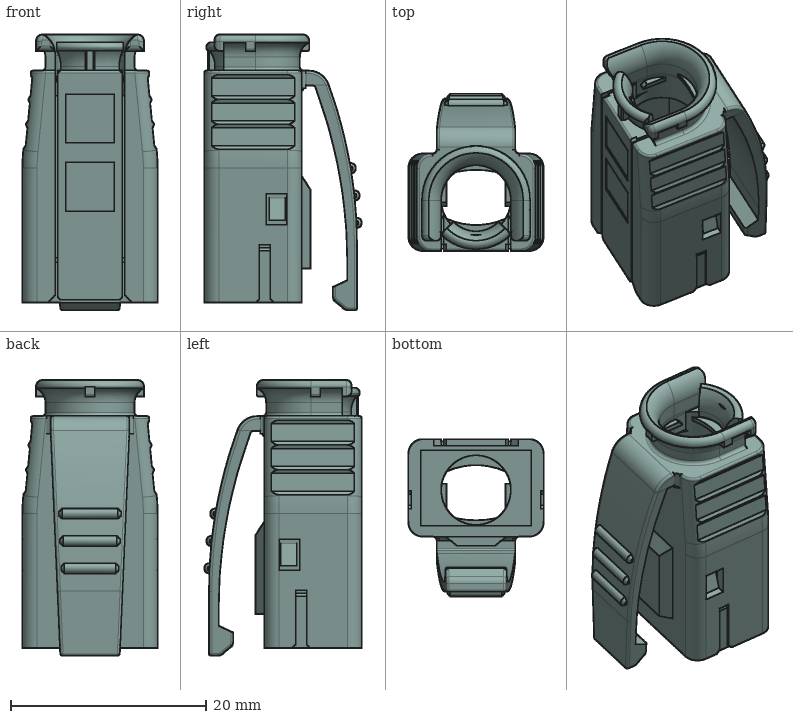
import cadquery as cq
import math

body_width = 13.9
body_half_width = body_width / 2
body_depth = 10.01
body_height = 23.8
corner_radius = 1.5
top_round = 0.25
overlap = 0.28
bend_start_z = 13.83
bend_end_z = 15.65
taper_start_half_width = 6.85
top_half_width = 6.05

groove_count = 3
groove_top_z = 23.37
groove_pitch = 2.55
groove_depth = 0.2
groove_slope_height = 0.37

collar_y = 5.23
collar_top = 27.5
throat_radius = 3.56
throat_z = 25.38
stem_radius = 4.58
stem_end_y = 1.98
root_fillet = 0.37
flare_start_z = 25.18
rim_radius = 5.55
rim_under_z = 26.65
rim_round = 0.7
mouth_radius = rim_radius - rim_round
arm_end_y = 1.05
arm_end_round = 0.57
gusset_bottom = 25.77
gusset_width = 1.0
gusset_round = 0.23

lip_half_angle = 46
lip_half_width = 3.4
lip_throat_radius = 3.2
lip_throat_z = 24.22
lip_rim_radius = 5.04
lip_rim_z = 26.15
lip_under_round = 0.3
lip_mouth_radius = 4.15
lip_mouth_z = 26.62
lip_wall_radius = lip_mouth_radius
post_half_width = 0.5
post_front_y = 0.35
post_back_y = 1.7
post_chamfer = 0.17

plate_half_width = 3.3
gap_half_width = 3.56
gap_depth = 0.7
gap_open_top_z = 21.22
bridge_front_y = 0.23
bridge_z = (4.15, 4.6)
plate_bottom = 0.28
plate_corner = 0.28
gap_mouth_chamfer = 0.75
label_size = 5.0
label_depth = 0.15
label_heights = (18.87, 11.88)

cavity_half_width = 5.65
cavity_front = 1.13
cavity_back = 8.88
cavity_top = 19.8
rear_bead_bottom = 23.75
front_bead_bottom = 22.63
bead_height = 0.45
rear_bead_y = 8.32
rear_bead_radius = 9.9
front_bead_y = 2.7
front_bead_radius = 7.35
grip_bar_x = 3.0
grip_bar_y = (4.58, 7.19)
grip_bar_z = (22.63, 23.2)
grip_bar_chamfer = 0.42

window_y = (6.37, 8.45)
window_z = (7.98, 11.15)
window_depth = 1.08
wedge_y = (6.65, 8.3)
wedge_z = (8.43, 10.75)
wedge_height = 0.74
slot_y = (5.65, 6.8)
slot_top = 5.95
slot_depth = 0.28
slot_pocket_z = 5.32
slot_pocket_depth = 0.7
slot_pocket_rise = 0.3
slot_mouth_chamfer = 0.37

latch_bottom = -0.8
latch_back_y = 15.67
latch_root_half_width = 4.05
latch_tip_half_width = 3.05
latch_back_radius = 48.1
latch_shoulder_z = 22.35
latch_tip_round = 0.23
latch_straight_z = 5.85
latch_edge_round = 0.28
latch_root_fillet = 0.4
latch_root_bottom = 21.95
hook_bottom_y = 14.8
hook_curve_end = (14.1, -0.42)
hook_slope_end = (13.27, 0.23)
hook_tip_y = 13.15
hook_tip_z = (0.6, 1.58)
hook_top_z = 2.3
latch_inner_y = 14.65
inner_straight_z = 4.22
inner_curve_middle = (13.85, 13.15)
inner_curve_end = (11.68, 21.22)
inner_shoulder_start = (11.4, 22.05)
inner_shoulder_middle = (11.32, 22.18)
inner_shoulder_end_y = 11.17
latch_underside_z = 22.25
underside_end_y = 10.45
latch_foot_z = 21.67
bump_radius = 0.55
bump_heights = (8.18, 10.98, 13.78)
bump_edge_gap = 0.48
bump_end_chamfer = 0.35
rail_back_y = 10.92
rail_bottom = 3.48
rail_top = 12.95
rail_slope_z = 11.55
rail_base_half_width = 3.1
rail_crest_half_width = 1.98


def box(x0, x1, y0, y1, z0, z1):
    """Axis-aligned block between the given limits."""
    return cq.Workplane("XY").box(x1 - x0, y1 - y0, z1 - z0, centered=False).translate((x0, y0, z0))


def box_around(y0, y1, z0, z1):
    """Selector for what is centred between the given Y and Z limits, with a little margin."""
    margin = 0.015
    low = (-body_half_width, y0 - margin, z0 - margin)
    high = (body_half_width, y1 + margin, z1 + margin)
    return cq.selectors.BoxSelector(low, high)


def both_sides(shape):
    """The shape together with its mirror image across the YZ plane."""
    return shape.union(shape.mirror("YZ"))


def extrude_x(profile, half_width):
    """Extrude a profile drawn on the YZ plane equally to both sides."""
    return profile.extrude(half_width, both=True)


def extrude_y(profile, y0, y1):
    """Extrude a profile drawn on the XZ plane from y0 to y1."""
    return profile.extrude(-(y1 - y0)).translate((0, y0, 0))


def side_half_width(z):
    """Half width of the tapered part of the body at height z."""
    share = (z - bend_end_z) / (body_height - bend_end_z)
    return taper_start_half_width + share * (top_half_width - taper_start_half_width)


def latch_half_width(z):
    """Half width of the tapered latch arm at height z."""
    share = (z - latch_bottom) / (latch_shoulder_z - latch_bottom)
    return latch_tip_half_width + share * (latch_root_half_width - latch_tip_half_width)


def latch_outer_y(z):
    """Y of the long outer curve of the latch at height z."""
    rise = z - latch_straight_z
    return latch_back_y - latch_back_radius + math.sqrt(latch_back_radius**2 - rise**2)


def make_body():
    profile = (
        cq.Workplane("XZ")
        .moveTo(0, 0)
        .lineTo(body_half_width, 0)
        .lineTo(body_half_width, bend_start_z)
        .tangentArcPoint((taper_start_half_width, bend_end_z), relative=False)
        .lineTo(top_half_width, body_height)
        .lineTo(0, body_height)
        .close()
    )
    half = extrude_y(profile, 0, body_depth)
    body = both_sides(half)
    body = body.edges("not (|X or |Y)").fillet(corner_radius)
    return body.faces(">Z").edges().fillet(top_round)


def make_grip_grooves():
    grooves = cq.Workplane("XY")
    outside = body_half_width + overlap
    for index in range(groove_count):
        top = groove_top_z - index * groove_pitch
        bottom = top - groove_pitch
        floor_top = top - groove_slope_height
        floor_bottom = bottom + groove_slope_height
        outline = (
            cq.Workplane("XZ")
            .moveTo(outside, top)
            .lineTo(side_half_width(top), top)
            .lineTo(side_half_width(floor_top) - groove_depth, floor_top)
            .lineTo(side_half_width(floor_bottom) - groove_depth, floor_bottom)
            .lineTo(side_half_width(bottom), bottom)
            .lineTo(outside, bottom)
            .close()
        )
        grooves = grooves.union(extrude_y(outline, 0, body_depth))
    return both_sides(grooves)


def make_latch():
    latch_start_y = body_depth - corner_radius
    slope_sine = (latch_shoulder_z - latch_straight_z) / latch_back_radius
    turn = math.acos(slope_sine)
    shoulder_radius = (body_height - latch_shoulder_z) / (1 - math.cos(turn))
    shoulder_start_y = latch_outer_y(latch_shoulder_z) - shoulder_radius * math.sin(turn)
    latch_middle_z = (latch_shoulder_z + latch_straight_z) / 2
    profile = (
        cq.Workplane("YZ")
        .moveTo(latch_start_y, body_height)
        .lineTo(shoulder_start_y, body_height)
        .tangentArcPoint((latch_outer_y(latch_shoulder_z), latch_shoulder_z), relative=False)
        .threePointArc((latch_outer_y(latch_middle_z), latch_middle_z), (latch_back_y, latch_straight_z))
        .lineTo(latch_back_y, latch_bottom + latch_tip_round)
        .tangentArcPoint((-latch_tip_round, -latch_tip_round))
        .lineTo(hook_bottom_y, latch_bottom)
        .tangentArcPoint(hook_curve_end, relative=False)
        .lineTo(*hook_slope_end)
        .lineTo(hook_tip_y, hook_tip_z[0])
        .lineTo(hook_tip_y, hook_tip_z[1])
        .lineTo(latch_inner_y, hook_top_z)
        .lineTo(latch_inner_y, inner_straight_z)
        .threePointArc(inner_curve_middle, inner_curve_end)
        .lineTo(*inner_shoulder_start)
        .threePointArc(inner_shoulder_middle, (inner_shoulder_end_y, latch_underside_z))
        .lineTo(underside_end_y, latch_underside_z)
        .lineTo(body_depth, latch_foot_z)
        .lineTo(latch_start_y, latch_foot_z)
        .close()
    )
    arm = extrude_x(profile, latch_root_half_width)
    width = (
        cq.Workplane("XZ")
        .moveTo(-latch_tip_half_width, latch_bottom)
        .lineTo(latch_tip_half_width, latch_bottom)
        .lineTo(latch_root_half_width, latch_shoulder_z)
        .lineTo(latch_root_half_width, body_height)
        .lineTo(-latch_root_half_width, body_height)
        .lineTo(-latch_root_half_width, latch_shoulder_z)
        .close()
    )
    arm = arm.intersect(extrude_y(width, 0, latch_back_y))
    along_sides = arm.edges("not |X")
    back_edges = along_sides.edges(box_around(latch_inner_y, latch_back_y, hook_top_z, latch_shoulder_z))
    back_edges = back_edges.edges("not <Y")
    shoulder_middle_z = (latch_shoulder_z + body_height) / 2
    shoulder_box = box_around(latch_start_y + overlap, latch_back_y, shoulder_middle_z, body_height)
    shoulder_edges = along_sides.edges(shoulder_box)
    hook_edges = along_sides.edges(box_around(hook_tip_y, latch_back_y, latch_bottom, hook_tip_z[1]))
    outer_edges = arm.newObject(back_edges.vals() + shoulder_edges.vals() + hook_edges.vals())
    return outer_edges.fillet(latch_edge_round)


def make_latch_root():
    """Concave corners where the sides of the latch meet the rear of the body."""
    x = latch_root_half_width
    y = body_depth
    outline = (
        cq.Workplane("XY")
        .moveTo(x - overlap, y - top_round)
        .lineTo(x + latch_root_fillet, y - top_round)
        .lineTo(x + latch_root_fillet, y)
        .radiusArc((x, y + latch_root_fillet), latch_root_fillet)
        .lineTo(x - overlap, y + latch_root_fillet)
        .close()
    )
    height = body_height - latch_root_bottom
    return both_sides(outline.extrude(height).translate((0, 0, latch_root_bottom)))


def make_latch_bumps():
    bumps = cq.Workplane("XY")
    for z in bump_heights:
        circle = cq.Workplane("YZ").center(latch_outer_y(z), z).circle(bump_radius)
        bump = extrude_x(circle, latch_half_width(z) - bump_edge_gap)
        bumps = bumps.union(bump.faces("<X or >X").chamfer(bump_end_chamfer))
    return bumps


def make_rear_rail():
    section = (
        cq.Workplane("XY")
        .moveTo(-rail_base_half_width, body_depth - overlap)
        .lineTo(-rail_base_half_width, body_depth)
        .lineTo(-rail_crest_half_width, rail_back_y)
        .lineTo(rail_crest_half_width, rail_back_y)
        .lineTo(rail_base_half_width, body_depth)
        .lineTo(rail_base_half_width, body_depth - overlap)
        .close()
        .extrude(rail_top - rail_bottom)
        .translate((0, 0, rail_bottom))
    )
    side = (
        cq.Workplane("YZ")
        .moveTo(body_depth - overlap, rail_bottom)
        .lineTo(rail_back_y, rail_bottom)
        .lineTo(rail_back_y, rail_slope_z)
        .lineTo(body_depth, rail_top)
        .lineTo(body_depth - overlap, rail_top)
        .close()
    )
    return section.intersect(extrude_x(side, rail_base_half_width))


def point_on_circle(center, radius, degrees):
    """Point on a circle in the XZ plane at the given angle from +X."""
    angle = math.radians(degrees)
    return (center[0] + radius * math.cos(angle), center[1] + radius * math.sin(angle))


def collar_section():
    """Outer half section of the trumpet: X is the distance from its axis."""
    fillet_center = (stem_radius + root_fillet, body_height + root_fillet)
    rim_center = (rim_radius - rim_round, collar_top - rim_round)
    return (
        cq.Workplane("XZ")
        .moveTo(0, body_height - overlap)
        .lineTo(stem_radius + root_fillet, body_height - overlap)
        .lineTo(stem_radius + root_fillet, body_height)
        .threePointArc(point_on_circle(fillet_center, root_fillet, 225), (stem_radius, fillet_center[1]))
        .lineTo(stem_radius, flare_start_z)
        .tangentArcPoint((rim_radius, rim_under_z), relative=False)
        .lineTo(rim_radius, rim_center[1])
        .threePointArc(point_on_circle(rim_center, rim_round, 45), (rim_center[0], collar_top))
        .lineTo(0, collar_top)
        .close()
    )


def flare_midpoint(inner_radius, bottom_z, outer_radius, top_z):
    """Middle of an arc that leaves the throat vertically and opens to the mouth."""
    run = outer_radius - inner_radius
    rise = top_z - bottom_z
    flare_radius = (run**2 + rise**2) / (2 * run)
    half_angle = math.degrees(math.asin(rise / flare_radius)) / 2
    return point_on_circle((inner_radius + flare_radius, bottom_z), flare_radius, 180 - half_angle)


def throat_section():
    """Half section of the space inside the trumpet, down to the body cavity."""
    flare_middle = flare_midpoint(throat_radius, throat_z, mouth_radius, collar_top)
    return (
        cq.Workplane("XZ")
        .moveTo(0, body_height - overlap)
        .lineTo(throat_radius, body_height - overlap)
        .lineTo(throat_radius, throat_z)
        .threePointArc(flare_middle, (mouth_radius, collar_top))
        .lineTo(0, collar_top)
        .close()
    )


def half_turn(section):
    """Revolve a section around the collar axis through its rear half."""
    return section.revolve(180, (0, 0, 0), (0, 1, 0)).translate((0, collar_y, 0))


def arm_end_block():
    """Rounded block closing the front end of the right-hand arm."""
    rim_center = (rim_radius - rim_round, collar_top - rim_round)
    outline = (
        cq.Workplane("XZ")
        .moveTo(throat_radius, gusset_bottom)
        .lineTo(rim_radius, gusset_bottom)
        .lineTo(rim_radius, rim_center[1])
        .threePointArc(point_on_circle(rim_center, rim_round, 45), (rim_center[0], collar_top))
        .lineTo(throat_radius, collar_top)
        .close()
    )
    return extrude_y(outline, arm_end_y, stem_end_y).faces("<Y").edges().fillet(arm_end_round)


def gusset():
    """Support under the rim; it points along +X from the collar axis."""
    return (
        box(stem_radius - overlap, rim_radius, 0, gusset_width, gusset_bottom, collar_top - rim_round)
        .edges(">X and <Z")
        .fillet(gusset_round)
    )


def make_collar():
    side_gusset = gusset().translate((0, collar_y - gusset_width, 0))
    back_gusset = gusset().translate((0, -gusset_width / 2, 0)).rotate((0, 0, 0), (0, 0, 1), 90)
    back_gusset = back_gusset.translate((0, collar_y, 0))
    right_arm = extrude_y(collar_section(), stem_end_y, collar_y).union(arm_end_block()).union(side_gusset)
    collar = half_turn(collar_section()).union(both_sides(right_arm)).union(back_gusset)
    throat = half_turn(throat_section()).union(both_sides(extrude_y(throat_section(), 0, collar_y)))
    return collar.cut(throat)


def front_sector(section):
    """Revolve a section around the collar axis through the front lip angle."""
    return (
        section.revolve(2 * lip_half_angle, (0, 0, 0), (0, 1, 0))
        .rotate((0, 0, 0), (0, 0, 1), -90 - lip_half_angle)
        .translate((0, collar_y, 0))
    )


def make_front_lip():
    under_center = (lip_rim_radius - lip_under_round, lip_rim_z)
    flare_middle = flare_midpoint(lip_throat_radius, lip_throat_z, lip_mouth_radius, lip_mouth_z)
    section = (
        cq.Workplane("XZ")
        .moveTo(lip_throat_radius, body_height - overlap)
        .lineTo(lip_wall_radius, body_height - overlap)
        .lineTo(lip_wall_radius, lip_throat_z)
        .tangentArcPoint((lip_rim_radius - lip_under_round, lip_rim_z - lip_under_round), relative=False)
        .threePointArc(point_on_circle(under_center, lip_under_round, -45), (lip_rim_radius, lip_rim_z))
        .tangentArcPoint((lip_mouth_radius, lip_mouth_z), relative=False)
        .threePointArc(flare_middle, (lip_throat_radius, lip_throat_z))
        .close()
    )
    post_z = (body_height - overlap, lip_rim_z - lip_under_round)
    post = box(-post_half_width, post_half_width, post_front_y, post_back_y, *post_z)
    post = post.edges("|Z and <Y").chamfer(post_chamfer)
    sides = box(-lip_half_width, lip_half_width, 0, collar_y, 0, collar_top)
    return front_sector(section).intersect(sides).union(post)


def make_cavity():
    """Bore below the collar, widening to a rectangular socket at the bottom."""
    socket = box(-cavity_half_width, cavity_half_width, cavity_front, cavity_back, 0, cavity_top)
    bore = cq.Workplane("XY").center(0, collar_y).circle(throat_radius).extrude(body_height)
    return socket.union(bore)


def make_gripping_ribs():
    """Beads across the rear and front of the throat and a short bar on each side."""
    disk = cq.Workplane("XY").center(0, collar_y).circle(throat_radius + overlap).extrude(bead_height)
    rear_edge = cq.Workplane("XY").center(0, rear_bead_y - rear_bead_radius).circle(rear_bead_radius)
    front_edge = cq.Workplane("XY").center(0, front_bead_y + front_bead_radius).circle(front_bead_radius)
    rear_bead = disk.cut(rear_edge.extrude(bead_height)).translate((0, 0, rear_bead_bottom))
    front_bead = disk.cut(front_edge.extrude(bead_height)).translate((0, 0, front_bead_bottom))
    bar = box(grip_bar_x, throat_radius + overlap, *grip_bar_y, *grip_bar_z)
    bar = bar.edges("<Y and >Z").chamfer(grip_bar_chamfer)
    return rear_bead.union(front_bead).union(both_sides(bar))


def make_plate_gaps():
    """Gaps along both sides and below the front plate, with flared lower mouths."""
    gap = box(plate_half_width, gap_half_width, 0, gap_depth, 0, body_height)
    bridge = box(plate_half_width, gap_half_width, bridge_front_y, gap_depth, *bridge_z)
    open_top = box(plate_half_width, gap_half_width, 0, collar_y, gap_open_top_z, body_height)
    below = box(0, gap_half_width, 0, gap_depth, 0, plate_bottom)
    mouth = extrude_y(
        cq.Workplane("XZ")
        .moveTo(gap_half_width, 0)
        .lineTo(gap_half_width + gap_mouth_chamfer, 0)
        .lineTo(gap_half_width, gap_mouth_chamfer)
        .close(),
        0,
        gap_depth,
    )
    corners = cq.Workplane("XY")
    for z, inward in ((body_height, -plate_corner), (plate_bottom, plate_corner)):
        corner = (
            cq.Workplane("XZ")
            .moveTo(plate_half_width, z)
            .lineTo(plate_half_width - plate_corner, z)
            .lineTo(plate_half_width, z + inward)
            .close()
        )
        corners = corners.union(extrude_y(corner, 0, gap_depth))
    return both_sides(gap.cut(bridge).union(open_top).union(below).union(mouth).union(corners))


def make_label_recesses():
    recesses = cq.Workplane("XY")
    half = label_size / 2
    for z in label_heights:
        recesses = recesses.union(box(-half, half, 0, label_depth, z - half, z + half))
    return recesses


def make_side_cuts():
    face = body_half_width
    window = box(face - window_depth, face, *window_y, *window_z)
    wedge = extrude_y(
        cq.Workplane("XZ")
        .moveTo(face - window_depth, wedge_z[0])
        .lineTo(face - window_depth + wedge_height, wedge_z[0])
        .lineTo(face - window_depth, wedge_z[1])
        .close(),
        *wedge_y,
    )
    slot = box(face - slot_depth, face, *slot_y, 0, slot_top)
    pocket = extrude_y(
        cq.Workplane("XZ")
        .moveTo(face - slot_depth, slot_top)
        .lineTo(face - slot_depth, slot_pocket_z)
        .lineTo(face - slot_pocket_depth, slot_pocket_z + slot_pocket_rise)
        .lineTo(face - slot_pocket_depth, slot_top)
        .close(),
        *slot_y,
    )
    mouth = (
        cq.Workplane("YZ")
        .moveTo(slot_y[0] - slot_mouth_chamfer, 0)
        .lineTo(slot_y[0], slot_mouth_chamfer)
        .lineTo(slot_y[1], slot_mouth_chamfer)
        .lineTo(slot_y[1] + slot_mouth_chamfer, 0)
        .close()
        .extrude(slot_depth)
        .translate((face - slot_depth, 0, 0))
    )
    return both_sides(window.cut(wedge).union(slot).union(pocket).union(mouth))


shell = make_body().cut(make_grip_grooves())
shell = shell.union(make_latch()).union(make_latch_root())
shell = shell.cut(make_cavity()).union(make_rear_rail()).union(make_latch_bumps())
shell = shell.cut(make_plate_gaps()).cut(make_label_recesses()).cut(make_side_cuts())
shell = shell.union(make_collar(), clean=False)
result = shell.union(make_front_lip(), clean=False).union(make_gripping_ribs(), clean=False)